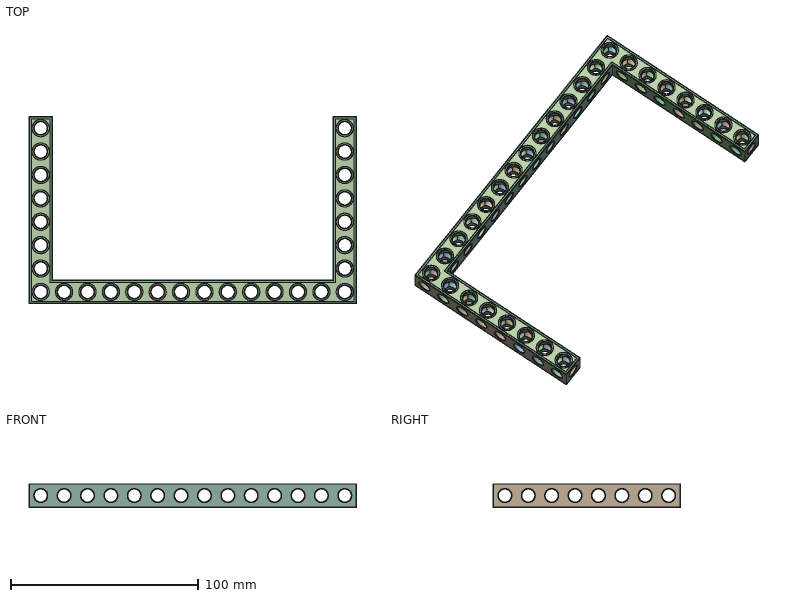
import cadquery as cq

PITCH = 12.5
BASE_CELLS = 14
ARM_CELLS = 8
BASE_LENGTH = BASE_CELLS * PITCH
ARM_LENGTH = ARM_CELLS * PITCH

HOLE_DIAMETER = 7.0
HOLE_CHAMFER = 0.25
COUNTERBORE_DIAMETER = 9.2
COUNTERBORE_DEPTH = 0.2
RIM_WIDTH = 1.25
RIM_CHAMFER = 0.2
RECESS_DEPTH = 0.15

TOP_Z = PITCH / 2
FLOOR_Z = TOP_Z - RECESS_DEPTH
SHOULDER_Z = FLOOR_Z - COUNTERBORE_DEPTH


def cell_centers(count):
    """Centres of a row of cells, measured from the middle of the row."""
    return [(index - (count - 1) / 2) * PITCH for index in range(count)]


def u_prism(inset, bottom_z, top_z):
    """Upright prism of the U outline, with every edge moved inward by the inset."""
    right = BASE_LENGTH / 2 - inset
    arm_end = ARM_LENGTH / 2 - inset
    bar_width = PITCH - 2 * inset
    inner_right = right - bar_width
    inner_y = bar_width - arm_end
    outline = [
        (-right, -arm_end),
        (right, -arm_end),
        (right, arm_end),
        (inner_right, arm_end),
        (inner_right, inner_y),
        (-inner_right, inner_y),
        (-inner_right, arm_end),
        (-right, arm_end),
    ]
    return cq.Workplane("XY", origin=(0, 0, bottom_z)).polyline(outline).close().extrude(top_z - bottom_z)


def bore(mouth, direction, depth, diameter):
    """Cylinder that starts at the mouth and runs along the direction."""
    return cq.Solid.makeCylinder(diameter / 2, depth, cq.Vector(*mouth), cq.Vector(*direction))


def mouth_chamfer(mouth, direction):
    """Cone that chamfers a hole at its mouth; the direction points into the hole."""
    inner_radius = HOLE_DIAMETER / 2
    outer_radius = inner_radius + HOLE_CHAMFER
    return cq.Solid.makeCone(
        outer_radius, inner_radius, HOLE_CHAMFER, cq.Vector(*mouth), cq.Vector(*direction)
    )


column_x = cell_centers(BASE_CELLS)
row_y = cell_centers(ARM_CELLS)
arm_columns = (column_x[0], column_x[-1])
base_row = row_y[0]


def vertical_hole_cutters():
    """Counterbored and chamfered holes along Z, one in every cell."""
    centers = [(x, base_row) for x in column_x]
    centers += [(x, y) for x in arm_columns for y in row_y[1:]]
    cutters = []
    for x, y in centers:
        cutters.append(bore((x, y, -TOP_Z), (0, 0, 1), PITCH, HOLE_DIAMETER))
        cutters.append(bore((x, y, FLOOR_Z), (0, 0, -1), COUNTERBORE_DEPTH, COUNTERBORE_DIAMETER))
        cutters.append(mouth_chamfer((x, y, SHOULDER_Z), (0, 0, -1)))
    return cutters


def y_hole_cutters():
    """Holes along Y through the base, and lengthwise through both arms."""
    front = -ARM_LENGTH / 2
    cutters = []
    for x in column_x:
        back = ARM_LENGTH / 2 if x in arm_columns else front + PITCH
        cutters.append(bore((x, front, 0), (0, 1, 0), back - front, HOLE_DIAMETER))
        cutters.append(mouth_chamfer((x, front, 0), (0, 1, 0)))
        cutters.append(mouth_chamfer((x, back, 0), (0, -1, 0)))
    return cutters


def x_hole_cutters():
    """Holes along X through both arms, and lengthwise through the base."""
    outer = BASE_LENGTH / 2
    inner = outer - PITCH
    cutters = []
    for y in row_y:
        cutters.append(bore((-outer, y, 0), (1, 0, 0), BASE_LENGTH, HOLE_DIAMETER))
        for side in (-1, 1):
            cutters.append(mouth_chamfer((side * outer, y, 0), (-side, 0, 0)))
            if y != base_row:
                cutters.append(mouth_chamfer((side * inner, y, 0), (side, 0, 0)))
    return cutters


body = u_prism(0, -TOP_Z, TOP_Z).faces(">Z").edges().chamfer(RIM_CHAMFER)
body = body.cut(u_prism(RIM_WIDTH, FLOOR_Z, TOP_Z))

hole_cutters = vertical_hole_cutters() + y_hole_cutters() + x_hole_cutters()
result = cq.Workplane(obj=body.val().cut(*hole_cutters).Solids()[0])